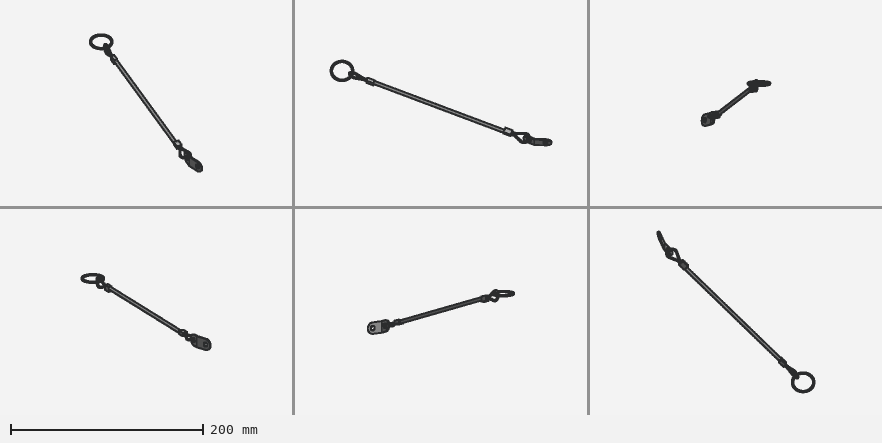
import cadquery as cq
import math

total_length = 245.7

ring_outer_diameter = 24.0
ring_wire_diameter = 2.0

cable_diameter = 1.85
strand_spacing = 2.0
jacket_diameter = 3.7
jacket_start = 48.2
jacket_end = 194.9

ferrule_length = 8.0
loop_reach = 28.5
loop_outer_radius = 6.1
knee_distance = 11.8

tab_start = 216.5
tab_height = 12.3
tab_thickness = 1.5
tab_hole_diameter = 5.0
tab_bend_position = 228.8
tab_bend_angle = 20.0

strand_offset = strand_spacing / 2
loop_center = loop_reach - loop_outer_radius
loop_radius = loop_outer_radius - cable_diameter / 2
tab_end_radius = tab_height / 2


def make_ring():
    """Round-wire ring lying flat, level with the middle of the loop it hangs on."""
    center_radius = (ring_outer_diameter - ring_wire_diameter) / 2
    ring = cq.Solid.makeTorus(center_radius, ring_wire_diameter / 2)
    return cq.Workplane(ring).translate((ring_outer_diameter / 2, 0, -strand_offset))


def make_loop():
    """Cable leaving the ferrule as two strands and spreading tangentially into a round eye."""
    knee_to_center = loop_center - knee_distance
    center_distance = math.hypot(knee_to_center, strand_offset)
    knee_angle = math.pi - math.atan2(strand_offset, knee_to_center)
    tangent_angle = knee_angle - math.acos(loop_radius / center_distance)
    tangent_x = loop_center + loop_radius * math.cos(tangent_angle)
    tangent_y = loop_radius * math.sin(tangent_angle)
    path = (
        cq.Workplane("XY")
        .moveTo(ferrule_length, strand_offset)
        .lineTo(knee_distance, strand_offset)
        .lineTo(tangent_x, tangent_y)
        .threePointArc((loop_center + loop_radius, 0), (tangent_x, -tangent_y))
        .lineTo(knee_distance, -strand_offset)
        .lineTo(ferrule_length, -strand_offset)
    )
    section = cq.Workplane("YZ", origin=(ferrule_length, strand_offset, 0)).circle(cable_diameter / 2)
    return section.sweep(path, transition="right")


def make_cable_end():
    """Ferrule and loop pointing along +X; the lower strand is in line with the jacket."""
    ferrule_width = jacket_diameter + strand_spacing
    ferrule = cq.Workplane("XY").box(
        ferrule_length, ferrule_width, jacket_diameter, centered=(False, True, True)
    )
    return ferrule.union(make_loop()).translate((0, strand_offset, 0))


def make_lanyard():
    """Jacketed cable with a loop at each end, the two loops a quarter turn apart."""
    jacket = (
        cq.Workplane("YZ", origin=(jacket_start, 0, 0))
        .circle(jacket_diameter / 2)
        .extrude(jacket_end - jacket_start)
    )
    tab_side = make_cable_end().translate((jacket_end, 0, 0))
    ring_side = (
        make_cable_end()
        .rotate((0, 0, 0), (0, 0, 1), 180)
        .rotate((0, 0, 0), (1, 0, 0), 90)
        .translate((jacket_start, 0, 0))
    )
    return jacket.union(tab_side).union(ring_side)


def make_tab_leaf(length):
    """Flat leaf from the bend line along +X, with a round end and a hole concentric with it."""
    hole_x = length - tab_end_radius
    leaf = (
        cq.Workplane("XZ")
        .moveTo(0, -tab_end_radius)
        .lineTo(hole_x, -tab_end_radius)
        .threePointArc((length, 0), (hole_x, tab_end_radius))
        .lineTo(0, tab_end_radius)
        .close()
        .extrude(tab_thickness / 2, both=True)
    )
    hole = (
        cq.Workplane("XZ")
        .center(hole_x, 0)
        .circle(tab_hole_diameter / 2)
        .extrude(tab_thickness, both=True)
    )
    return leaf.cut(hole)


def make_bend_wedge():
    """Wedge filling the gap between the two leaves on the outside of the bend."""
    bend = math.radians(tab_bend_angle)
    half = tab_thickness / 2
    return (
        cq.Workplane("XY")
        .moveTo(0, 0)
        .lineTo(0, -half)
        .lineTo(half * math.tan(bend / 2), -half)
        .lineTo(half * math.sin(bend), -half * math.cos(bend))
        .close()
        .extrude(tab_end_radius, both=True)
    )


def make_tab():
    """Strip in line with the tab-side loop, its far leaf bent towards +Y."""
    bend = math.radians(tab_bend_angle)
    far_reach = total_length - tab_bend_position - tab_thickness / 2 * math.sin(bend)
    far_leaf = make_tab_leaf(far_reach / math.cos(bend)).rotate((0, 0, 0), (0, 0, 1), tab_bend_angle)
    near_leaf = make_tab_leaf(tab_bend_position - tab_start).mirror("YZ")
    tab = near_leaf.union(far_leaf).union(make_bend_wedge())
    return tab.translate((tab_bend_position, strand_offset, 0))


ring = make_ring()
lanyard = make_lanyard()
tab = make_tab()

result = cq.Compound.makeCompound([ring.val(), lanyard.solids().val(), tab.solids().val()])